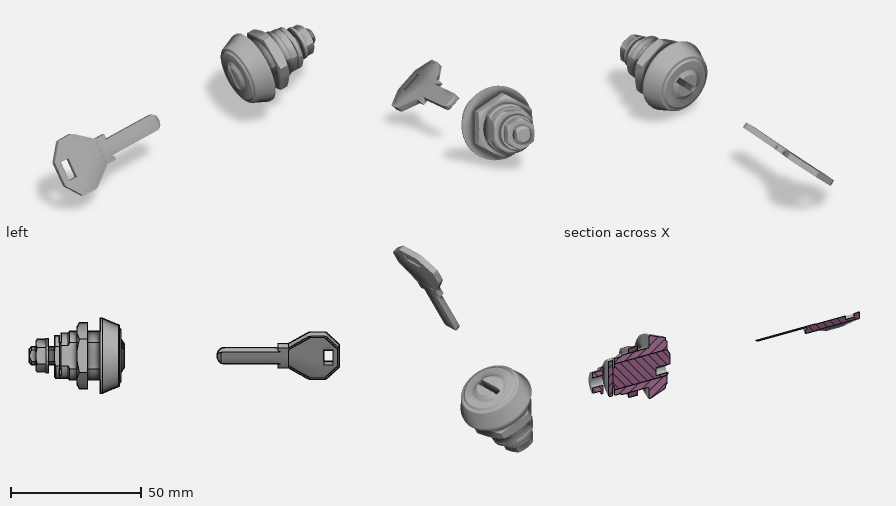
import cadquery as cq
import math


FLANGE_NUT_REAR = 2.6
FLANGE_NUT_FRONT = 7.4
STOP_REAR = 9.8
STOP_FRONT = 11.7
BARREL_REAR = 12.3
MOUNTING_NUT_REAR = 18.4
MOUNTING_NUT_FRONT = 22.5
BEZEL_REAR = 27.3
BEZEL_FRONT = 34.7
BOSS_FRONT = 35.4
PLUG_FRONT = 36.6

BEZEL_RADIUS = 29.0 / 2
BEZEL_EDGE = 0.8
BEZEL_FRONT_RADIUS = 11.9
BEZEL_FRONT_CHAMFER = 0.4
BOSS_RADIUS = 10.6
BOSS_FACE_RADIUS = 9.9
BARREL_RADIUS = 9.4
BARREL_FLAT_WIDTH = 15.7
BARREL_TAIL_RADIUS = 8.8
BARREL_TAIL_LENGTH = 2.7
BARREL_TAIL_CHAMFER = 0.6

PLUG_RADIUS = 6.3
PLUG_TIP_RADIUS = 4.5
COLLAR_RADIUS = 5.0
SPINDLE_RADIUS = 7.0 / 2
SPINDLE_FLAT_WIDTH = 5.5
SPINDLE_CHAMFER = 1.0
KEYWAY_WIDTH = 2.4
KEYWAY_END_RADIUS = 5.8
KEYWAY_DEPTH = 6.0

STOP_RADIUS = 8.8
STOP_FLAT_WIDTH = 16.0
STOP_OFFSET = 0.2
STOP_LUG_WIDTH = 4.8
STOP_LUG_THICKNESS = 1.0
STOP_BEND_CHAMFER = 0.6

NUT_CHAMFER_ANGLE = 30
MOUNTING_NUT_FLATS = 22.1
FLANGE_NUT_FLATS = 11.0
FLANGE_RADIUS = 6.7
FLANGE_THICKNESS = 1.0

KEY_TIP = 72.3
KEY_SHOULDER = 95.7
KEY_HEAD_START = 99.7
KEY_HEAD_WIDE_START = 107.7
KEY_HEAD_WIDE_END = 114.0
KEY_END = 119.3
KEY_THICKNESS = 2.4
KEY_ROLL = 45
BLADE_WIDTH = 6.6
NECK_WIDTH = 11.0
HEAD_WIDTH = 23.6
HEAD_END_WIDTH = 10.0
HEAD_SIDE_RADIUS = 3.0
HEAD_CORNER_RADIUS = 1.4
BLADE_TIP_FILLET = 3.0
BLADE_BEVEL_LENGTH = 1.5
BLADE_BEVEL_DEPTH = 0.7
SHOULDER_RELIEF = 0.7
HEAD_BORDER = 0.8
HEAD_RECESS_DEPTH = 0.1
KEY_HOLE_START = 113.3
KEY_HOLE_LENGTH = 3.5
KEY_HOLE_WIDTH = 8.0

HEAD_CORNERS = [
    (HEAD_WIDTH / 2, KEY_HEAD_WIDE_START),
    (HEAD_WIDTH / 2, KEY_HEAD_WIDE_END),
    (HEAD_END_WIDTH / 2, KEY_END),
]


def revolve_profile(points):
    """Solid of revolution about Y from (radius, station) points."""
    outline = [(radius, -station) for radius, station in points]
    return cq.Workplane("XY").polyline(outline).close().revolve(360, (0, 0, 0), (0, 1, 0))


def cylinder(radius, rear, front):
    return revolve_profile([(0, rear), (radius, rear), (radius, front), (0, front)])


def block(x_size, z_size, rear, front):
    """Box centred on the lock axis."""
    return cq.Workplane("XY").box(x_size, front - rear, z_size).translate((0, -(rear + front) / 2, 0))


def hexagon(across_flats, rear, front):
    """Hexagonal prism with two of its corners on the Z axis."""
    corner_diameter = across_flats / math.cos(math.pi / 6)
    profile = cq.Workplane("XZ", origin=(0, -rear, 0)).transformed(rotate=(0, 0, 90))
    return profile.polygon(6, corner_diameter).extrude(front - rear)


def nut_chamfer_cone(across_flats, rear, front):
    """Turned body that trims the rear corners of a hexagon at the nut chamfer angle."""
    face_radius = across_flats / 2
    outer_radius = across_flats
    drop = (outer_radius - face_radius) * math.tan(math.radians(NUT_CHAMFER_ANGLE))
    skirt = front + drop
    return revolve_profile(
        [(0, rear), (face_radius, rear), (outer_radius, rear + drop), (outer_radius, skirt), (0, skirt)]
    )


def make_stop_lug():
    """Tab at the bottom of the stop washer, bent forward into the barrel."""
    front = BARREL_REAR + BARREL_TAIL_LENGTH
    ring = cylinder(BARREL_TAIL_RADIUS, STOP_REAR, front).cut(
        cylinder(BARREL_TAIL_RADIUS - STOP_LUG_THICKNESS, STOP_REAR, front)
    )
    window = block(STOP_LUG_WIDTH, BARREL_TAIL_RADIUS, STOP_REAR, front)
    window = window.translate((0, 0, -BARREL_TAIL_RADIUS))
    return ring.intersect(window)


def make_housing():
    tail_front = BARREL_REAR + BARREL_TAIL_LENGTH
    barrel = revolve_profile(
        [
            (0, BARREL_REAR),
            (BARREL_TAIL_RADIUS, BARREL_REAR),
            (BARREL_TAIL_RADIUS, tail_front),
            (BARREL_RADIUS, tail_front + BARREL_TAIL_CHAMFER),
            (BARREL_RADIUS, BEZEL_REAR),
            (0, BEZEL_REAR),
        ]
    ).intersect(block(BARREL_FLAT_WIDTH, 2 * BARREL_RADIUS, BARREL_REAR, BEZEL_REAR))
    bezel = revolve_profile(
        [
            (0, BEZEL_REAR),
            (BEZEL_RADIUS, BEZEL_REAR),
            (BEZEL_RADIUS, BEZEL_REAR + BEZEL_EDGE),
            (BEZEL_FRONT_RADIUS, BEZEL_FRONT - BEZEL_FRONT_CHAMFER),
            (BEZEL_FRONT_RADIUS - BEZEL_FRONT_CHAMFER, BEZEL_FRONT),
            (BOSS_RADIUS, BEZEL_FRONT),
            (BOSS_FACE_RADIUS, BOSS_FRONT),
            (0, BOSS_FRONT),
        ]
    )
    bore = cylinder(PLUG_RADIUS, BARREL_REAR, BOSS_FRONT)
    return barrel.union(bezel).cut(bore).cut(make_stop_lug())


def make_plug():
    """Plug with a conical nose and keyway in front, in one piece with its collar and spindle."""
    body = revolve_profile(
        [
            (0, STOP_FRONT),
            (COLLAR_RADIUS, STOP_FRONT),
            (COLLAR_RADIUS, BARREL_REAR),
            (PLUG_RADIUS, BARREL_REAR),
            (PLUG_RADIUS, BOSS_FRONT),
            (PLUG_TIP_RADIUS, PLUG_FRONT),
            (0, PLUG_FRONT),
        ]
    )
    keyway_floor = PLUG_FRONT - KEYWAY_DEPTH
    keyway = block(2 * KEYWAY_END_RADIUS, KEYWAY_WIDTH, keyway_floor, PLUG_FRONT)
    keyway = keyway.intersect(cylinder(KEYWAY_END_RADIUS, keyway_floor, PLUG_FRONT))
    keyway = keyway.rotate((0, 0, 0), (0, 1, 0), KEY_ROLL)
    return body.cut(keyway).union(make_spindle(STOP_FRONT))


def make_spindle(front):
    """Double-flatted rear end of the plug, with a chamfered tip."""
    spindle = revolve_profile(
        [
            (0, 0),
            (SPINDLE_RADIUS - SPINDLE_CHAMFER, 0),
            (SPINDLE_RADIUS, SPINDLE_CHAMFER),
            (SPINDLE_RADIUS, front),
            (0, front),
        ]
    )
    return spindle.intersect(block(SPINDLE_FLAT_WIDTH, 2 * SPINDLE_RADIUS, 0, front))


def make_mounting_nut():
    nut = hexagon(MOUNTING_NUT_FLATS, MOUNTING_NUT_REAR, MOUNTING_NUT_FRONT)
    nut = nut.intersect(nut_chamfer_cone(MOUNTING_NUT_FLATS, MOUNTING_NUT_REAR, MOUNTING_NUT_FRONT))
    return nut.cut(cylinder(BARREL_RADIUS, MOUNTING_NUT_REAR, MOUNTING_NUT_FRONT))


def make_flange_nut():
    flange_rear = FLANGE_NUT_FRONT - FLANGE_THICKNESS
    nut = hexagon(FLANGE_NUT_FLATS, FLANGE_NUT_REAR, flange_rear)
    nut = nut.intersect(nut_chamfer_cone(FLANGE_NUT_FLATS, FLANGE_NUT_REAR, flange_rear))
    nut = nut.union(cylinder(FLANGE_RADIUS, flange_rear, FLANGE_NUT_FRONT))
    return nut.cut(cylinder(SPINDLE_RADIUS, FLANGE_NUT_REAR, FLANGE_NUT_FRONT))


def make_stop_washer():
    """Disc set slightly off the lock axis, with flats at the top and both sides and a bent lug below."""
    below = 2 * STOP_RADIUS
    disc = cylinder(STOP_RADIUS, STOP_REAR, STOP_FRONT)
    trim = block(STOP_FLAT_WIDTH, STOP_FLAT_WIDTH / 2 + below, STOP_REAR, STOP_FRONT)
    trim = trim.translate((0, 0, (STOP_FLAT_WIDTH / 2 - below) / 2))
    washer = disc.intersect(trim).translate((STOP_OFFSET, 0, -STOP_OFFSET))
    envelope = revolve_profile(
        [
            (0, STOP_REAR),
            (BARREL_TAIL_RADIUS - STOP_BEND_CHAMFER, STOP_REAR),
            (BARREL_TAIL_RADIUS, STOP_REAR + STOP_BEND_CHAMFER),
            (BARREL_TAIL_RADIUS, BARREL_REAR + BARREL_TAIL_LENGTH),
            (0, BARREL_REAR + BARREL_TAIL_LENGTH),
        ]
    )
    washer = washer.union(make_stop_lug()).intersect(envelope)
    return washer.cut(make_spindle(STOP_FRONT))


def mirrored_outline(right_side):
    """Closed outline in XY from (x, station) points on +X and their mirror images on -X."""
    outline = [(x, -station) for x, station in right_side]
    outline += [(-x, -station) for x, station in reversed(right_side)]
    return cq.Workplane("XY").polyline(outline).close()


def key_plate():
    """Key outline in the XY plane with its thickness centred on Z = 0."""
    blade = BLADE_WIDTH / 2
    neck = NECK_WIDTH / 2
    right_side = [
        (blade, KEY_TIP),
        (blade, KEY_SHOULDER + SHOULDER_RELIEF),
        (blade + SHOULDER_RELIEF, KEY_SHOULDER),
        (neck, KEY_SHOULDER),
        (neck, KEY_HEAD_START),
        *HEAD_CORNERS,
    ]
    plate = mirrored_outline(right_side).extrude(KEY_THICKNESS / 2, both=True)
    plate = plate.edges("|Z").edges(edges_between(KEY_TIP, KEY_TIP)).fillet(BLADE_TIP_FILLET)
    side_corners = edges_between(KEY_HEAD_WIDE_START, KEY_HEAD_WIDE_START)
    plate = plate.edges("|Z").edges(side_corners).fillet(HEAD_SIDE_RADIUS)
    return plate.edges("|Z").edges(edges_between(KEY_HEAD_WIDE_END, KEY_END)).fillet(HEAD_CORNER_RADIUS)


def edges_between(first_station, last_station):
    """Selector for the edges whose middles lie at mid-thickness between two stations."""
    margin = 0.1
    near = (-HEAD_WIDTH, -first_station + margin, -margin)
    far = (HEAD_WIDTH, -last_station - margin, margin)
    return cq.selectors.BoxSelector(near, far)


def tip_bevel(side):
    """Wedge removed from one face of the blade tip; side is +1 or -1."""
    face = side * KEY_THICKNESS / 2
    wedge = [
        (-KEY_TIP, face),
        (-KEY_TIP - BLADE_BEVEL_LENGTH, face),
        (-KEY_TIP, face - side * BLADE_BEVEL_DEPTH),
    ]
    return cq.Workplane("YZ").polyline(wedge).close().extrude(BLADE_WIDTH, both=True)


def head_recess(side):
    """Shallow panel sunk into one face of the head, ending flush with the neck."""
    neck = NECK_WIDTH / 2
    side_slope = (HEAD_WIDTH / 2 - neck) / (KEY_HEAD_WIDE_START - KEY_HEAD_START)
    right_side = [
        (neck - HEAD_BORDER * side_slope, KEY_HEAD_START - HEAD_BORDER),
        *HEAD_CORNERS,
    ]
    panel = mirrored_outline(right_side).offset2D(-HEAD_BORDER)
    panel = panel.extrude(HEAD_RECESS_DEPTH)
    bottom = KEY_THICKNESS / 2 - HEAD_RECESS_DEPTH if side > 0 else -KEY_THICKNESS / 2
    return panel.translate((0, 0, bottom))


def make_key():
    key = key_plate()
    for side in (1, -1):
        key = key.cut(tip_bevel(side)).cut(head_recess(side))
    hole_centre = KEY_HOLE_START + KEY_HOLE_LENGTH / 2
    hole = cq.Workplane("XY").box(KEY_HOLE_WIDTH, KEY_HOLE_LENGTH, 2 * KEY_THICKNESS)
    key = key.cut(hole.translate((0, -hole_centre, 0)))
    return key.rotate((0, 0, 0), (0, 1, 0), KEY_ROLL)


housing = make_housing()
plug = make_plug()
mounting_nut = make_mounting_nut()
flange_nut = make_flange_nut()
stop_washer = make_stop_washer()
key = make_key()

result = cq.Compound.makeCompound(
    [housing.val(), plug.val(), mounting_nut.val(), flange_nut.val(), stop_washer.val(), key.val()]
)